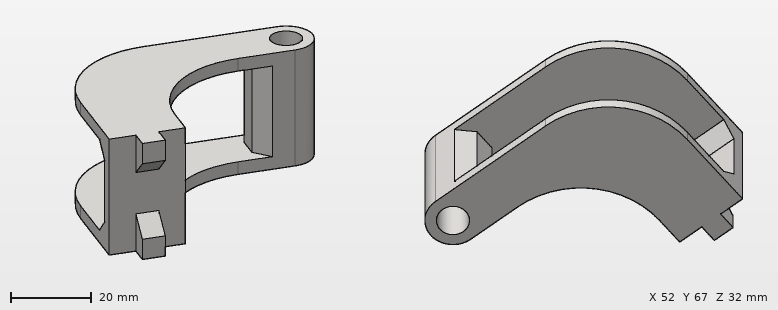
import cadquery as cq
import math

height = 32.0
body_length = 47.0
body_depth = 67.0

arm_width = 14.0
foot_width = 20.0
bend_radius = 25.0
arm_end_radius = arm_width / 2
pin_hole_diameter = 8.2
pin_center_y = body_depth - arm_end_radius

wall = 3.5
chamfer = 4.0
pillar_front_y = body_depth - 17.0

tab_length = 5.0
tab_width = 6.0
tab_root_height = 10.3
tab_tip_height = 5.6
tab_center_y = foot_width / 2


def make_body():
    """Solid L-shaped block with a rounded arm end and a rounded bend."""
    arc_offset = bend_radius * (1 - math.sqrt(0.5))
    inner_tangent_x = arm_width + bend_radius
    inner_tangent_y = foot_width + bend_radius
    return (
        cq.Workplane("XY")
        .moveTo(bend_radius, 0)
        .lineTo(body_length, 0)
        .lineTo(body_length, foot_width)
        .lineTo(inner_tangent_x, foot_width)
        .threePointArc(
            (arm_width + arc_offset, foot_width + arc_offset),
            (arm_width, inner_tangent_y),
        )
        .lineTo(arm_width, pin_center_y)
        .threePointArc((arm_end_radius, body_depth), (0, pin_center_y))
        .lineTo(0, bend_radius)
        .threePointArc((arc_offset, arc_offset), (bend_radius, 0))
        .close()
        .extrude(height)
    )


def make_opening():
    """Space between the plates, with chamfered corners at the end wall."""
    end_x = body_length - wall
    bottom_z = wall
    top_z = height - wall
    return (
        cq.Workplane("XZ")
        .polyline([
            (0, bottom_z),
            (end_x - chamfer, bottom_z),
            (end_x, bottom_z + chamfer),
            (end_x, top_z - chamfer),
            (end_x - chamfer, top_z),
            (0, top_z),
        ])
        .close()
        .extrude(-pillar_front_y)
    )


def make_pillar_chamfer(edge_x, inward):
    """Wedge that bevels one vertical pillar edge between the plates."""
    return (
        cq.Workplane("XY")
        .workplane(offset=wall)
        .polyline([
            (edge_x, pillar_front_y),
            (edge_x + inward * chamfer, pillar_front_y),
            (edge_x, pillar_front_y + chamfer),
        ])
        .close()
        .extrude(height - 2 * wall)
    )


def make_pin_hole():
    """Cylinder for the pin hole along the whole pillar."""
    return (
        cq.Workplane("XY")
        .center(arm_end_radius, pin_center_y)
        .circle(pin_hole_diameter / 2)
        .extrude(height)
    )


def make_tab(outer_z, inward):
    """Tapered tab on the end face, flush with one outer plate face."""
    tip_x = body_length + tab_length
    return (
        cq.Workplane("XZ", origin=(0, tab_center_y, 0))
        .polyline([
            (body_length - wall, outer_z),
            (tip_x, outer_z),
            (tip_x, outer_z + inward * tab_tip_height),
            (body_length, outer_z + inward * tab_root_height),
            (body_length - wall, outer_z + inward * tab_root_height),
        ])
        .close()
        .extrude(tab_width / 2, both=True)
    )


result = make_body().cut(make_opening())
for edge_x, inward in ((0, 1), (arm_width, -1)):
    result = result.cut(make_pillar_chamfer(edge_x, inward))
result = result.cut(make_pin_hole())
for outer_z, inward in ((0, 1), (height, -1)):
    result = result.union(make_tab(outer_z, inward))